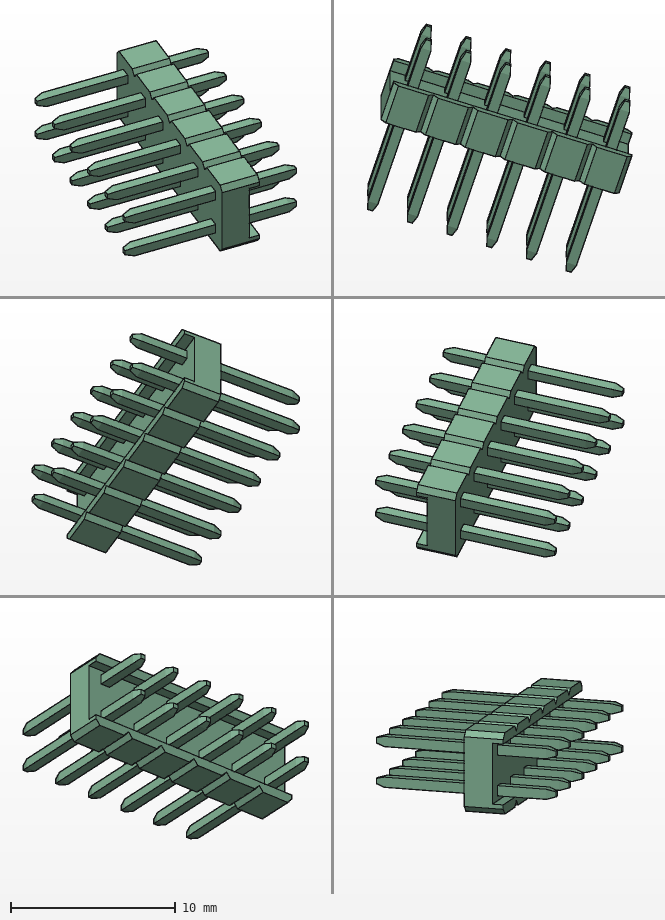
import cadquery as cq

columns = 6
rows = 2
housing_length = 15.24
pitch = housing_length / columns
housing_height = rows * pitch
housing_depth = 2.5

chamfer_width = 0.3
chamfer_height = 0.37

channel_depth = 0.69
lip_thickness = 0.64

front_reach = 6.0
pin_length = 11.5
pin_width = 0.64
tip_width = 0.32
tip_length = 0.56


def housing_segment(x_center):
    """Chamfered block around one column; its front face is at Y = 0."""
    half_width = pitch / 2
    half_height = housing_height / 2
    flat = half_width - chamfer_width
    shoulder = half_height - chamfer_height
    outline = [
        (-half_width, -shoulder),
        (-flat, -half_height),
        (flat, -half_height),
        (half_width, -shoulder),
        (half_width, shoulder),
        (flat, half_height),
        (-flat, half_height),
        (-half_width, shoulder),
    ]
    segment = cq.Workplane("XZ").polyline(outline).close().extrude(-housing_depth)
    return segment.translate((x_center, 0, 0))


def rear_channel():
    """Material removed between the two rear lips, open at both ends."""
    channel_height = housing_height - 2 * lip_thickness
    return (
        cq.Workplane("XY")
        .box(housing_length, channel_depth, channel_height)
        .translate((0, housing_depth - channel_depth / 2, 0))
    )


def square_pin(x_center, z_center):
    """Square pin with a pyramidal taper at each end."""
    half_pin = pin_width / 2
    half_tip = tip_width / 2
    y_front = -front_reach
    y_rear = y_front + pin_length
    side_outline = [
        (y_front, -half_tip),
        (y_front + tip_length, -half_pin),
        (y_rear - tip_length, -half_pin),
        (y_rear, -half_tip),
        (y_rear, half_tip),
        (y_rear - tip_length, half_pin),
        (y_front + tip_length, half_pin),
        (y_front, half_tip),
    ]
    taper_in_z = cq.Workplane("YZ").polyline(side_outline).close().extrude(half_pin, both=True)
    taper_in_x = taper_in_z.rotate((0, 0, 0), (0, 1, 0), 90)
    return taper_in_z.intersect(taper_in_x).translate((x_center, 0, z_center))


column_centers = [(i - (columns - 1) / 2) * pitch for i in range(columns)]
row_centers = [(i - (rows - 1) / 2) * pitch for i in range(rows)]

result = housing_segment(column_centers[0])
for x in column_centers[1:]:
    result = result.union(housing_segment(x))
result = result.clean().cut(rear_channel())

for x in column_centers:
    for z in row_centers:
        result = result.union(square_pin(x, z))